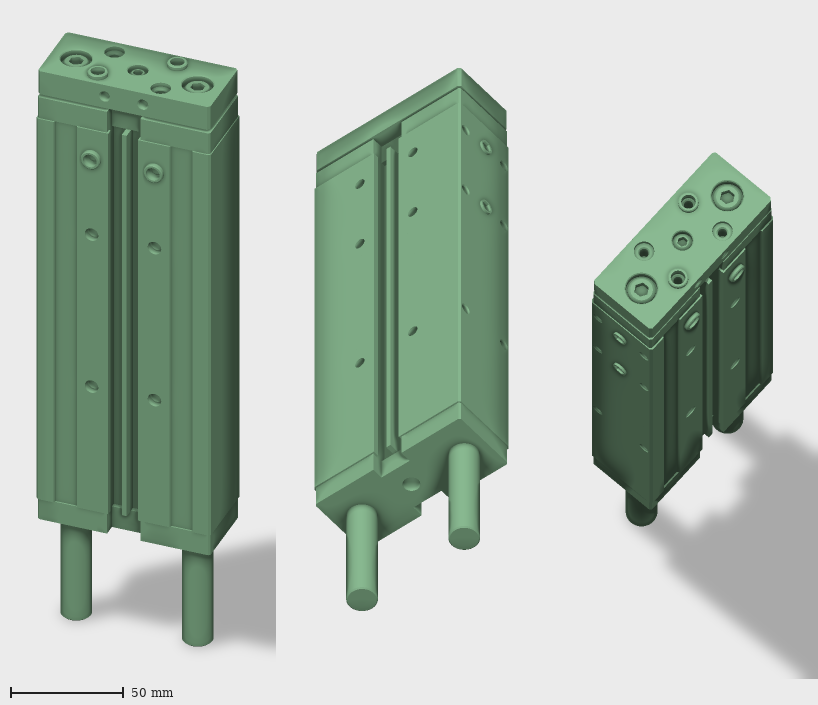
import cadquery as cq


total_height = 293.8
rod_overhang = 56.0
cap_height = 11.0
housing_height = 200.0
plate_gap = 1.8
sleeve_rise = 2.0

lower_cap_z = rod_overhang
housing_z = lower_cap_z + cap_height
housing_top = housing_z + housing_height
upper_cap_z = housing_top
plate_z = upper_cap_z + cap_height + plate_gap
plate_top = total_height - sleeve_rise
plate_height = plate_top - plate_z

housing_width = 83.0
housing_depth = 35.8
housing_chamfer = 1.03
front_y = -housing_depth / 2
side_x = -housing_width / 2
band_inner_x = 22.0
band_outer_x = 33.2
band_depth = 1.5
band_slope = 0.5
slot_width = 14.0
slot_lip = 3
slot_undercut = 1.0
slot_depth = 8.8
rib_width = 2.4
rib_setback = 1.5

step_inset = 0.73
cap_width = 82.3
cap_depth = housing_depth - 2 * step_inset
cap_chamfer = 1.0
notch_width = 16.0
notch_depth = 6
plate_width = 82.0
plate_depth = cap_depth
plate_chamfer = 1.2

rod_diameter = 14.0
rod_spacing = 58.0
rod_x = rod_spacing / 2
rod_y = -1.2
rod_chamfer = 0.5
piston_rod_diameter = 8.0

rod_screw_bore = 15.0
rod_screw_head = 12.3
rod_screw_socket = 6
piston_screw_bore = 10.0
piston_screw_head = 8.0
piston_screw_socket = 4.0
bore_chamfer = 0.45
head_chamfer = 1.2
head_sink = 1.5
head_groove_depth = 2.4
socket_depth = 3.5

hole_x = 15.0
plate_hole_y = 10.0
plate_hole_shift = -0.45
plate_hole_rows = [plate_hole_shift - plate_hole_y, plate_hole_shift + plate_hole_y]
plate_front_hole_x = 9.0
side_hole_y = 13.5
hole_pitch = 40.0
top_hole_drop = 15.0
hole_levels = [housing_top - top_hole_drop - pitches * hole_pitch for pitches in (0, 1, 3)]
port_levels = hole_levels[:2]

through_diameter = 5.3
through_counterbore = 6.5
counterbore_depth = 3
thread_diameter = 4.0
thread_mouth = 5.3
blind_depth = 7.0
drill_tip_slope = 0.6

sleeve_diameter = 9.0
sleeve_bore = 6.5
sleeve_recess = 2.0
sleeve_chamfer = 0.45
plate_seat_z = plate_top - sleeve_recess

plug_diameter = 7.0
plug_rise = 1.2
plug_recess = 3
plug_socket = 5.0
plug_socket_depth = 1.8

UP = cq.Vector(0, 0, 1)
DOWN = cq.Vector(0, 0, -1)
TO_BACK = cq.Vector(0, 1, 0)
TO_FRONT = cq.Vector(0, -1, 0)
TO_RIGHT = cq.Vector(1, 0, 0)
SIDES = (-1, 1)


def chamfered_block(width, depth, height, base_z, chamfer):
    """Block centred on the Z axis with chamfered upright edges."""
    block = cq.Workplane("XY").workplane(offset=base_z).rect(width, depth).extrude(height)
    return block.edges("|Z").chamfer(chamfer)


def cylinder(diameter, length, start, direction):
    """Cylinder from a start point along a direction."""
    return cq.Workplane(cq.Solid.makeCylinder(diameter / 2, length, cq.Vector(*start), direction))


def cone(start_diameter, end_diameter, length, start, direction):
    """Truncated or pointed cone from a start point along a direction."""
    solid = cq.Solid.makeCone(start_diameter / 2, end_diameter / 2, length, cq.Vector(*start), direction)
    return cq.Workplane(solid)


def thread_hole(depth, start, direction):
    """Threaded hole with a 45-degree countersunk mouth."""
    hole = cylinder(thread_diameter, depth, start, direction)
    mouth_depth = (thread_mouth - thread_diameter) / 2
    return hole.union(cone(thread_mouth, thread_diameter, mouth_depth, start, direction))


def blind_thread_hole(start, direction):
    """Threaded hole that ends in a conical drill tip."""
    tip_start = (cq.Vector(*start) + direction * blind_depth).toTuple()
    tip_length = drill_tip_slope * thread_diameter / 2
    tip = cone(thread_diameter, 0, tip_length, tip_start, direction)
    return thread_hole(blind_depth, start, direction).union(tip)


def hexagon_socket(across_flats, depth, start, direction):
    plane = cq.Plane(origin=start, normal=direction)
    return cq.Workplane(plane).polygon(6, across_flats, circumscribed=True).extrude(depth)


def housing_prism(points):
    """Closed XY outline extruded over the housing height."""
    return cq.Workplane("XY").workplane(offset=housing_z).polyline(points).close().extrude(housing_height)


def housing_bar(width, y_start, y_end):
    """Upright bar over the housing height, centred on X = 0."""
    half = width / 2
    return housing_prism([(-half, y_start), (half, y_start), (half, y_end), (-half, y_end)])


def rod_passages(base_z, length):
    """Bores for the piston rod and both guide rods."""
    passages = cylinder(piston_rod_diameter, length, (0, 0, base_z), UP)
    for side in SIDES:
        passages = passages.union(cylinder(rod_diameter, length, (side * rod_x, rod_y, base_z), UP))
    return passages


def front_band(side):
    """Shallow band in the housing front, narrowing towards its floor."""
    floor_y = front_y + band_depth
    return housing_prism([
        (side * band_inner_x, front_y),
        (side * band_outer_x, front_y),
        (side * (band_outer_x - band_slope), floor_y),
        (side * (band_inner_x + band_slope), floor_y),
    ])


def sensor_slot():
    """Undercut slot in the housing front with a rib left standing along its middle."""
    lip_y = front_y + slot_lip
    floor_y = front_y + slot_depth
    slot = housing_bar(slot_width, front_y, lip_y)
    slot = slot.union(housing_bar(slot_width + 2 * slot_undercut, lip_y, floor_y))
    return slot.cut(housing_bar(rib_width, front_y + rib_setback, floor_y))


def make_housing():
    body = chamfered_block(housing_width, housing_depth, housing_height, housing_z, housing_chamfer)
    for side in SIDES:
        body = body.cut(front_band(side))
    slot = sensor_slot()
    body = body.cut(slot).cut(slot.mirror("XZ"))
    body = body.cut(rod_passages(housing_z, housing_height))

    for x in (-hole_x, hole_x):
        for z in hole_levels:
            start = (x, front_y, z)
            body = body.cut(cylinder(through_diameter, housing_depth, start, TO_BACK))
            body = body.cut(cylinder(through_counterbore, counterbore_depth, start, TO_BACK))
        body = body.cut(cylinder(sleeve_diameter, sleeve_recess, (x, front_y, hole_levels[0]), TO_BACK))

    for z in hole_levels:
        for y in (-side_hole_y, side_hole_y):
            body = body.cut(blind_thread_hole((side_x, y, z), TO_RIGHT))
    for z in port_levels:
        body = body.cut(cylinder(plug_diameter, plug_recess, (side_x, 0, z), TO_RIGHT))
    return body


def make_cap(base_z):
    body = chamfered_block(cap_width, cap_depth, cap_height, base_z, cap_chamfer)
    for side in SIDES:
        notch = cq.Workplane("XY").box(notch_width, 2 * notch_depth, cap_height, centered=(True, True, False))
        body = body.cut(notch.translate((0, side * cap_depth / 2, base_z)))
    return body.cut(rod_passages(base_z, cap_height))


def sunk_screw_cut(bore, head, socket, x, y):
    """Chamfered bore around a sunk screw head, with the head's socket."""
    head_z = plate_top - head_sink
    cut = cylinder(bore - 2 * bore_chamfer, head_sink + head_groove_depth, (x, y, plate_top), DOWN)
    cut = cut.union(cone(bore, bore - 2 * bore_chamfer, bore_chamfer, (x, y, plate_top), DOWN))
    screw_head = cylinder(head, head_groove_depth, (x, y, head_z), DOWN).faces(">Z").chamfer(head_chamfer)
    return cut.cut(screw_head).union(hexagon_socket(socket, socket_depth, (x, y, head_z), DOWN))


def make_slide():
    body = chamfered_block(plate_width, plate_depth, plate_height, plate_z, plate_chamfer)

    for side in SIDES:
        rod = cylinder(rod_diameter, plate_z, (side * rod_x, rod_y, 0), UP)
        body = body.union(rod.faces("<Z").chamfer(rod_chamfer))
    body = body.union(cylinder(piston_rod_diameter, plate_z - housing_z, (0, 0, housing_z), UP))

    for side in SIDES:
        body = body.cut(
            sunk_screw_cut(rod_screw_bore, rod_screw_head, rod_screw_socket, side * rod_x, rod_y)
        )
    body = body.cut(sunk_screw_cut(piston_screw_bore, piston_screw_head, piston_screw_socket, 0, 0))

    for x in (-hole_x, hole_x):
        for y in plate_hole_rows:
            seat = (x, y, plate_seat_z)
            body = body.cut(cylinder(sleeve_diameter, sleeve_recess, seat, UP))
            body = body.cut(thread_hole(plate_seat_z - plate_z, seat, DOWN))

    for x in (-plate_front_hole_x, plate_front_hole_x):
        start = (x, -plate_depth / 2, plate_z + plate_height / 2)
        body = body.cut(blind_thread_hole(start, TO_BACK))
    return body


def make_sleeve(seat, outward):
    """Ring with a chamfered outer end, standing in the recess whose floor is at the seat point."""
    length = sleeve_recess + sleeve_rise
    straight = length - sleeve_chamfer
    chamfer_start = (cq.Vector(*seat) + outward * straight).toTuple()
    ring = cylinder(sleeve_diameter, straight, seat, outward)
    end_diameter = sleeve_diameter - 2 * sleeve_chamfer
    ring = ring.union(cone(sleeve_diameter, end_diameter, sleeve_chamfer, chamfer_start, outward))
    return ring.cut(cylinder(sleeve_bore, length, seat, outward))


def make_plug(z):
    """Port plug with a hexagon socket, standing slightly out of the left side."""
    outer_end = (side_x - plug_rise, 0, z)
    body = cylinder(plug_diameter, plug_rise + plug_recess, outer_end, TO_RIGHT)
    return body.cut(hexagon_socket(plug_socket, plug_socket_depth, outer_end, TO_RIGHT))


housing = make_housing()
caps = [make_cap(base_z) for base_z in (lower_cap_z, upper_cap_z)]
slide = make_slide()
plate_sleeves = [
    make_sleeve((side * hole_x, y, plate_seat_z), UP) for side, y in zip(SIDES, plate_hole_rows)
]
front_sleeves = [
    make_sleeve((side * hole_x, front_y + sleeve_recess, hole_levels[0]), TO_FRONT) for side in SIDES
]
plugs = [make_plug(z) for z in port_levels]

bodies = [housing, *caps, slide, *plate_sleeves, *front_sleeves, *plugs]
result = cq.Compound.makeCompound([body.val() for body in bodies])